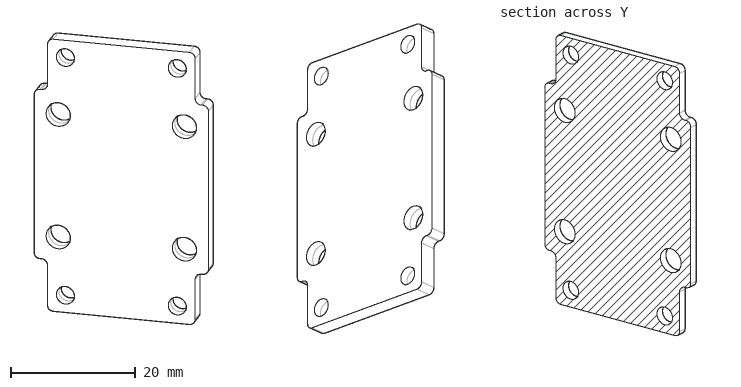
import cadquery as cq

height = 46.65
thickness = 3.0
square_side = 29.0
narrow_width = 24.6
corner_radius = 1.0

large_hole_diameter = 4.0
large_hole_spacing = 21.0
small_hole_diameter = 3.0
small_hole_spacing_x = 18.6
small_hole_spacing_z = 40.7


def block(width, block_height):
    return cq.Workplane("XY").box(width, thickness, block_height)


def hole_pattern(spacing_x, spacing_z, diameter):
    """Four cylinders through the thickness."""
    return (
        cq.Workplane("XZ")
        .rect(spacing_x, spacing_z, forConstruction=True)
        .vertices()
        .circle(diameter / 2)
        .extrude(thickness, both=True)
    )


plate = block(narrow_width, height).union(block(square_side, square_side))
plate = plate.edges("|Y").fillet(corner_radius)

result = plate.cut(hole_pattern(large_hole_spacing, large_hole_spacing, large_hole_diameter))
result = result.cut(hole_pattern(small_hole_spacing_x, small_hole_spacing_z, small_hole_diameter))